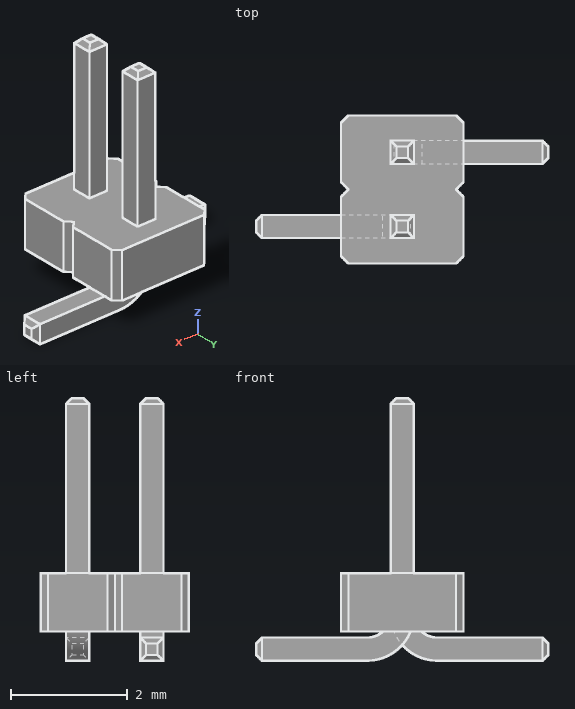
import cadquery as cq

pitch = 1.27
pin_count = 2
body_width = 2.1
body_bottom = 0.5
body_height = 1.0
corner_cut = pitch / 10

pin_size = 0.4
half_pin = pin_size / 2
pin_top = 4.5
foot_reach = 2.5
tip_inset = 0.1
inner_radius = 0.4
outer_radius = inner_radius + pin_size
bend_center_x = half_pin + inner_radius
bend_center_z = outer_radius


def housing_segment(y):
    """Block for one pin, with all four vertical edges cut off."""
    return (
        cq.Workplane("XY", origin=(0, y, body_bottom))
        .rect(body_width, pitch)
        .extrude(body_height)
        .edges("|Z")
        .chamfer(corner_cut)
    )


def bent_pin(y, side):
    """Upright pin whose foot points to +X (side = 1) or -X (side = -1)."""
    pin = (
        cq.Workplane("XZ", origin=(0, y, 0))
        .moveTo(-half_pin, pin_top)
        .lineTo(-half_pin, bend_center_z)
        .radiusArc((bend_center_x, 0), -outer_radius)
        .lineTo(foot_reach, 0)
        .lineTo(foot_reach, pin_size)
        .lineTo(bend_center_x, pin_size)
        .radiusArc((half_pin, bend_center_z), inner_radius)
        .lineTo(half_pin, pin_top)
        .close()
        .extrude(half_pin, both=True)
        .faces(">Z or >X")
        .chamfer(tip_inset)
    )
    return pin if side > 0 else pin.mirror("YZ")


result = cq.Workplane("XY")
for index in range(pin_count):
    pin_y = (index - (pin_count - 1) / 2) * pitch
    foot_side = -1 if index % 2 == 0 else 1
    result = result.union(housing_segment(pin_y)).union(bent_pin(pin_y, foot_side))